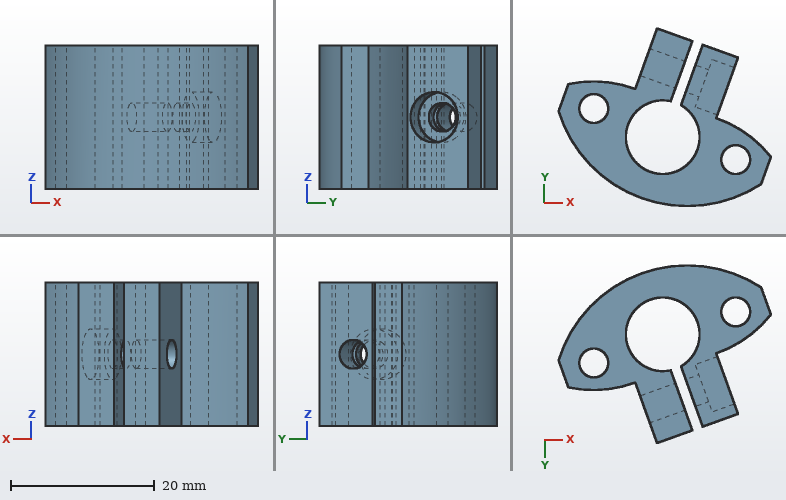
import cadquery as cq

tilt = -19.8
height = 20.0

half_width = 15.0
end_top = 2.5
end_bottom = -1.5
belly_depth = 9.0
shoulder_radius = 16.5

ear_half_width = 6.0
ear_root = 5.03
ear_top = 14.0
slot_width = 1.5

bore_diameter = 10.23
bore_offset = -0.12
bolt_diameter = 4.0
mount_spacing = 21.0
mount_level = 0.5

screw_level = 9.0
head_diameter = 7.0
head_seat_thickness = 1.95


def make_body():
    """Lens-shaped flange with a rectangular block rising from its shoulders."""
    return (
        cq.Workplane("XY")
        .moveTo(-half_width, end_bottom)
        .threePointArc((0, -belly_depth), (half_width, end_bottom))
        .lineTo(half_width, end_top)
        .radiusArc((ear_half_width, ear_root), -shoulder_radius)
        .lineTo(ear_half_width, ear_top)
        .lineTo(-ear_half_width, ear_top)
        .lineTo(-ear_half_width, ear_root)
        .radiusArc((-half_width, end_top), -shoulder_radius)
        .close()
        .extrude(height)
    )


def vertical_hole(x, y, diameter):
    return cq.Workplane("XY").center(x, y).circle(diameter / 2).extrude(height)


def cross_hole(start, end, diameter):
    """Cylinder along local X at the clamp screw position."""
    return (
        cq.Workplane("YZ", origin=(start, screw_level, height / 2))
        .circle(diameter / 2)
        .extrude(end - start)
    )


body = make_body()

body = body.cut(vertical_hole(bore_offset, 0, bore_diameter))
slot = cq.Workplane("XY").rect(slot_width, ear_top).extrude(height).translate((0, ear_top / 2, 0))
body = body.cut(slot)

for side in (-1, 1):
    body = body.cut(vertical_hole(side * mount_spacing / 2, mount_level, bolt_diameter))

head_seat = slot_width / 2 + head_seat_thickness
body = body.cut(cross_hole(-ear_half_width, ear_half_width, bolt_diameter))
body = body.cut(cross_hole(head_seat, ear_half_width, head_diameter))

result = body.rotate((0, 0, 0), (0, 0, 1), tilt)